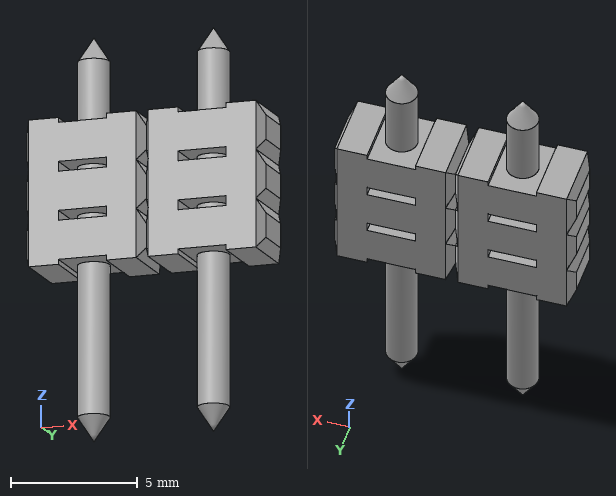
import cadquery as cq

pin_count = 2
layer_count = 3
pitch = 5.0
layer_height = 2.0
body_depth = 2.8
body_height = layer_count * layer_height

pad_height = 0.25
pad_inset = 0.5
core_width = pitch - 2 * pad_height

slot_width = 2.0
slot_depth = 0.2

pin_diameter = 1.3
pin_above = 3.5
pin_below = 7.0
point_length = 1.0
pin_bottom = -pin_below
pin_top = body_height + pin_above


def make_pad(side):
    """Tapered pad of the lowest layer; side is +1 for the +X face, -1 for the -X face."""
    base_plane = cq.Plane(
        origin=(side * core_width / 2, 0, layer_height / 2),
        xDir=(0, 1, 0),
        normal=(side, 0, 0),
    )
    return (
        cq.Workplane(base_plane)
        .rect(body_depth, layer_height)
        .workplane(offset=pad_height)
        .rect(body_depth - 2 * pad_inset, layer_height - 2 * pad_inset)
        .loft(ruled=True)
    )


def make_block():
    """Insulating block for one pin, standing on Z = 0 and centred on the Z axis."""
    block = cq.Workplane("XY").box(core_width, body_depth, body_height, centered=(True, True, False))
    for side in (-1, 1):
        pad = make_pad(side)
        for layer in range(layer_count):
            block = block.union(pad.translate((0, 0, layer * layer_height)))

    slot = cq.Workplane("XY").box(slot_width, body_depth, 2 * slot_depth)
    for boundary in range(layer_count + 1):
        block = block.cut(slot.translate((0, 0, boundary * layer_height)))
    return block


def make_pin():
    """Pin on the Z axis, pointed at both ends."""
    radius = pin_diameter / 2
    return (
        cq.Workplane("XZ")
        .moveTo(0, pin_bottom)
        .lineTo(radius, pin_bottom + point_length)
        .lineTo(radius, pin_top - point_length)
        .lineTo(0, pin_top)
        .close()
        .revolve(360, (0, 0, 0), (0, 1, 0))
    )


def make_header():
    """Row of blocks with their pins, joined where neighbouring pads touch."""
    unit = make_block().union(make_pin())
    header = cq.Workplane("XY")
    for index in range(pin_count):
        x_centre = (index - (pin_count - 1) / 2) * pitch
        header = header.union(unit.translate((x_centre, 0, 0)))
    return header


result = make_header()